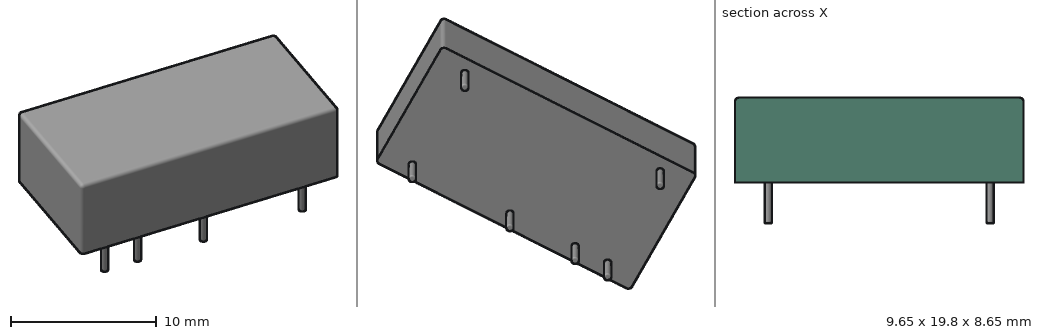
import cadquery as cq

width = 9.65
length = 19.82
total_height = 8.65

case_height = 5.85
edge_radius = 0.28

pin_diameter = 0.52
pin_tip_fillet = 0.12
pin_pitch = 2.54
row_offset = 1.5 * pin_pitch
pin_length = total_height - case_height

left_row_steps = (-3, 3)
right_row_steps = (-3, -2, 0, 3)


def make_case():
    """Box with its bottom on Z = 0; all edges but the bottom ones are rounded."""
    box = cq.Workplane("XY").box(width, length, case_height, centered=(True, True, False))
    return box.edges("|Z or >Z").fillet(edge_radius)


def make_pins(x, steps):
    """One row of round pins hanging below the case, with rounded tips."""
    places = [(x, step * pin_pitch) for step in steps]
    row = cq.Workplane("XY").pushPoints(places).circle(pin_diameter / 2).extrude(-pin_length)
    return row.faces("<Z").edges().fillet(pin_tip_fillet)


result = (
    make_case()
    .union(make_pins(-row_offset, left_row_steps))
    .union(make_pins(row_offset, right_row_steps))
)